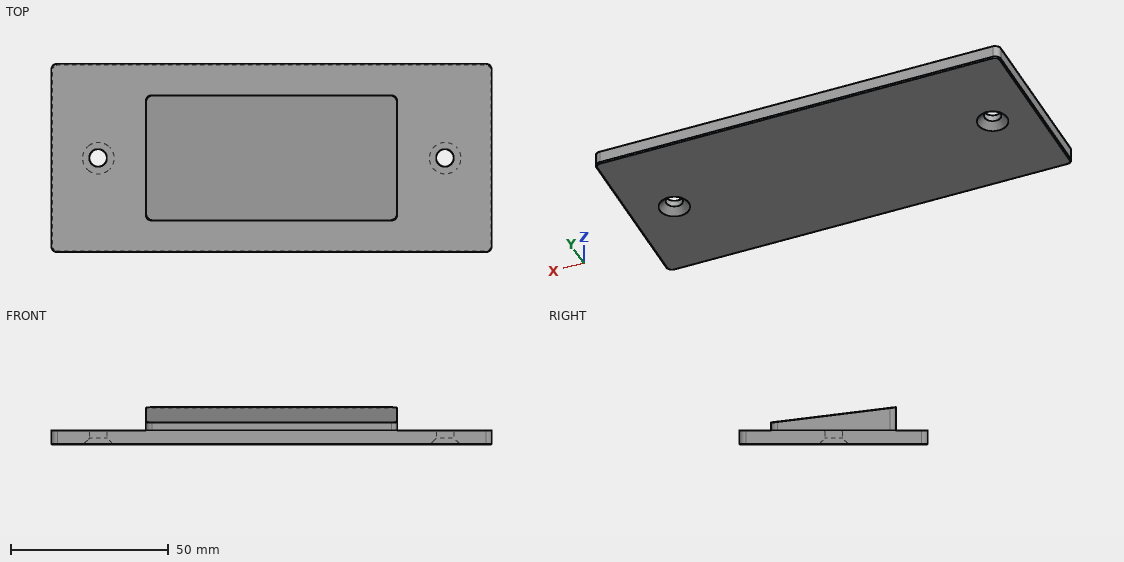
import cadquery as cq
import math

plate_length = 139.8
plate_width = 59.8
plate_thickness = 4.6
plate_corner_radius = 2.0
plate_bottom_chamfer = 0.4

hole_diameter = 5.5
hole_spacing = 110.0
countersink_diameter = 10.0
countersink_angle = 90.0
countersink_depth = (countersink_diameter - hole_diameter) / 2 / math.tan(math.radians(countersink_angle / 2))

pad_length = 79.8
pad_width = 39.8
pad_corner_radius = 2.0
pad_edge_chamfer = 0.2
pad_slope = math.radians(7.0)

total_height = 12.01
pad_back_height = total_height + pad_edge_chamfer * math.sin(pad_slope)
pad_front_height = pad_back_height - pad_width * math.tan(pad_slope)


def make_plate():
    """Rounded plate standing on Z = 0, with its bottom edge chamfered."""
    plate = cq.Workplane("XY").box(
        plate_length, plate_width, plate_thickness, centered=(True, True, False)
    )
    plate = plate.edges("|Z").fillet(plate_corner_radius)
    return plate.faces("<Z").edges().chamfer(plate_bottom_chamfer)


def make_pad():
    """Wedge on top of the plate, with rounded corners and a chamfer around its sloped face."""
    half_width = pad_width / 2
    side_profile = [
        (-half_width, plate_thickness),
        (half_width, plate_thickness),
        (half_width, pad_back_height),
        (-half_width, pad_front_height),
    ]
    pad = cq.Workplane("YZ").polyline(side_profile).close().extrude(pad_length / 2, both=True)
    pad = pad.edges("|Z").fillet(pad_corner_radius)
    return pad.faces(">Z").edges().chamfer(pad_edge_chamfer)


def make_hole_cutter(x):
    """Through hole at the given X, widening into a countersink at the plate's underside."""
    hole_radius = hole_diameter / 2
    center = cq.Vector(x, 0, 0)
    shank = cq.Solid.makeCylinder(hole_radius, plate_thickness, center)
    countersink = cq.Solid.makeCone(countersink_diameter / 2, hole_radius, countersink_depth, center)
    return cq.Workplane(obj=shank.fuse(countersink))


result = make_plate().union(make_pad())
for hole_x in (-hole_spacing / 2, hole_spacing / 2):
    result = result.cut(make_hole_cutter(hole_x))